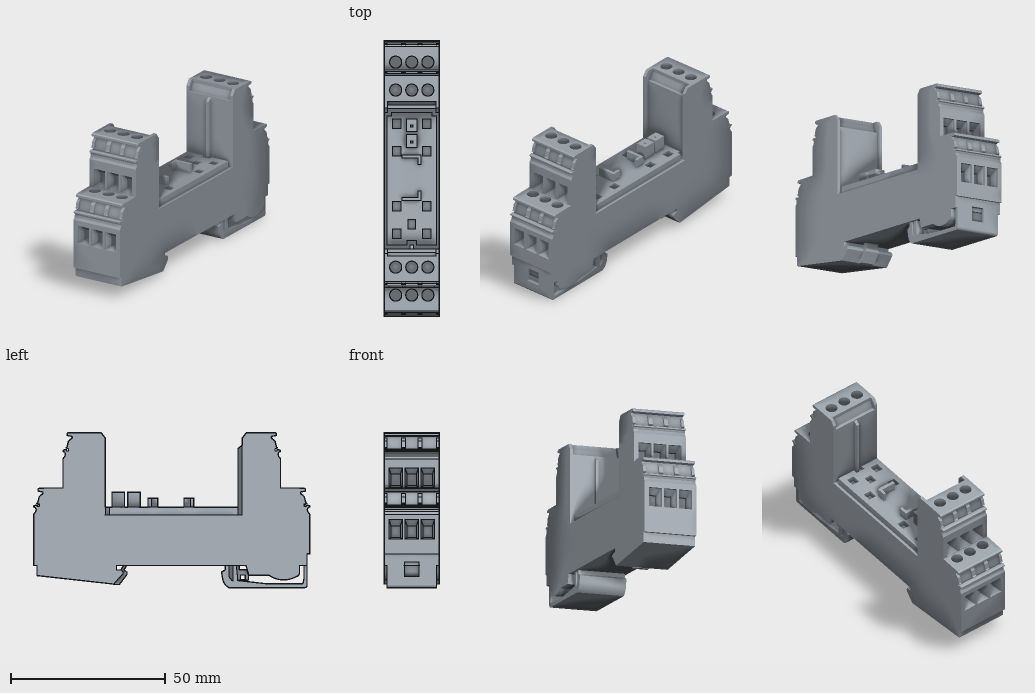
import cadquery as cq

width = 17.85
length = 89.33
height = 50.22
half_width = width / 2
end_y = length / 2

rail_z = 7.15
end_z = 10.95
ledge_z = 23.6
plate_z = 26.05
deck_z = 32.35

tower_y = 35.2
wall_y = 22.75
cheek_y = 21.45
recess_half_width = 7.85
chamfer_y, chamfer_z = 1.4, 1.85

pole_pitch = 5.2
poles = [-pole_pitch, 0, pole_pitch]
lip_height = 5.55
upper_lip_z = height - lip_height
lower_lip_z = 26.7
screw_diameter, screw_depth = 3.9, 6.0
upper_screw_y, lower_screw_y = 28.65, 37.67
entry_width, entry_height = 4.4, 6.25
entry_mouth_depth, entry_flare_depth, entry_throat_depth = 1.0, 1.8, 1.5
entry_throat_width, entry_throat_height = 3.0, 3.8
entry_throat_rise = 0.5
upper_entry_z, lower_entry_z = 32.5, 15.75
seat_top_dy = -2.95
seat_top_dz = lip_height - 1.7
label_half_widths = [2.3, 2.0, 2.3]
label_pitch = 5.68

plate_half_width = 7.95
plate_front_y, plate_shoulder_y, plate_back_y = -21.5, 20.2, 21.45
tongue_half_width = 6.6
plate_notch_width, plate_notch_depth = 3.1, 1.5
contact_x, contact_pitch = 4.85, 8.9
contact_width, contact_length = 2.65, 3.05
contact_depth = 2.0
centre_contact_y, centre_contact_width = -14.8, 2.5
post_width, post_length, post_z = 3.55, 4.1, 30.9
post_ys = [17.3, 12.2]
pin_width, pin_length, pin_depth, pin_offset = 0.9, 0.65, 2.0, -0.35
guide_z, guide_thickness, guide_leg_thickness = 29.0, 1.1, 0.95
guide_left_x, guide_right_x = -3.2, 2.95
guide_outer_ys = [7.7, -7.15]
guide_length = 3.2
rib_width, rib_y, rib_top_z, rib_bevel = 1.0, -21.4, 46.1, 1.05

hook_half_width = 2.5
clip_half_width = 8.05
block_half_width = 6.0
clip_outer_y = -43.8
clip_inner_y = -42.75
clip_floor_z = 1.3
head_y, head_low_y = -20.9, -21.2
head_low_z = 4.1
window_width, window_low_z, window_high_z = 4.76, 3.6, 8.35
wall_foot_y = -42.4
block_front_y, block_back_y = -21.9, -24.9
block_top_z, block_low_z = 5.9, 2.35
housing_slope_z = 4.0
eye_front_y, eye_back_y = -22.3, -23.7
eye_low_z, eye_high_z = 2.6, 4.1
slot_front_y, slot_back_y, slot_tip_z = -18.5, -19.85, 2.2
clip_slot_web = 8.0


def box(x0, x1, y0, y1, z0, z1):
    """Block between opposite corners."""
    return cq.Workplane("XY").box(x1 - x0, y1 - y0, z1 - z0, centered=False).translate((x0, y0, z0))


def centred_box(x, y, size_x, size_y, z0, z1):
    """Block centred on (x, y)."""
    return box(x - size_x / 2, x + size_x / 2, y - size_y / 2, y + size_y / 2, z0, z1)


def across(half, points):
    """Closed Y-Z polygon extended to +-half along X."""
    return cq.Workplane("YZ").polyline(points).close().extrude(half, both=True)


def mirrored(solid):
    """Copy on the -Y side."""
    return solid.mirror("XZ")


def terminal_edge(wire, face_y, lip_z):
    """Label lip, angled rib, marker ledge and finger groove, from the top down."""
    lip = [(-1.85, lip_height), (-1.33, lip_height - 0.3), (-1.33, lip_height - 1.0)]
    lip_groove = [(seat_top_dy, lip_height - 1.3), (seat_top_dy, seat_top_dz)]
    rib = [(-1.75, 2.73), (-1.25, 0.75), (-0.95, 0.6), (-1.75, 0.25)]
    ledge = [(-1.75, -0.4), (-1.2, -0.4), (-1.2, 0), (-0.55, 0), (0, -0.2)]
    groove = [(0, -0.6), (-0.55, -0.8), (-0.8, -1.4), (-0.6, -2.1), (0, -2.95)]
    for dy, dz in lip + lip_groove + rib + ledge + groove:
        wire = wire.lineTo(face_y + dy, lip_z + dz)
    return wire


def label_windows(face_y, lip_z):
    """Flat slanted label seats cut between the ribs."""
    low, high = lip_z + 0.15, lip_z + seat_top_dz
    seat = [(face_y - 1.85, low), (face_y + seat_top_dy, high), (face_y, high), (face_y, low)]
    cuts = cq.Workplane("XY")
    for index, half in enumerate(label_half_widths):
        cuts = cuts.add(across(half, seat).translate(((index - 1) * label_pitch, 0, 0)))
    return cuts.combine()


def wire_entries(face_y, floor_z):
    """Rectangular wire mouths that taper into a smaller throat."""
    mouth_z = floor_z + entry_height / 2
    throat_z = floor_z + entry_throat_rise + entry_throat_height / 2
    flare_y = face_y - entry_mouth_depth
    throat_y = flare_y - entry_flare_depth
    cuts = cq.Workplane("XY")
    for x in poles:
        mouth = (
            cq.Workplane("XZ", origin=(x, face_y, mouth_z))
            .rect(entry_width, entry_height)
            .extrude(entry_mouth_depth)
        )
        flare = (
            cq.Workplane("XZ", origin=(x, flare_y, mouth_z))
            .rect(entry_width, entry_height)
            .workplane(offset=entry_flare_depth)
            .center(0, throat_z - mouth_z)
            .rect(entry_throat_width, entry_throat_height)
            .loft()
        )
        throat = (
            cq.Workplane("XZ", origin=(x, throat_y, throat_z))
            .rect(entry_throat_width, entry_throat_height)
            .extrude(entry_throat_depth)
        )
        cuts = cuts.add(mouth).add(flare).add(throat)
    return cuts.combine()


def screw_holes(y, top_z):
    """One row of screw access holes."""
    return (
        cq.Workplane("XY", origin=(0, y, top_z - screw_depth))
        .pushPoints([(x, 0) for x in poles])
        .circle(screw_diameter / 2)
        .extrude(screw_depth)
    )


def tower_recess():
    """Stepped pocket in the inner side of a tower, between its cheeks."""
    slot_y, ramp_y = 25.0, 23.85
    slot_z, shelf_z = 48.95, 46.5
    inside_y = cheek_y - chamfer_y
    return across(recess_half_width, [
        (inside_y, height), (slot_y, height), (slot_y, slot_z), (ramp_y, shelf_z),
        (wall_y, shelf_z), (wall_y, ledge_z), (inside_y, ledge_z),
    ])


def terminal_end(inner_y):
    """Two-level terminal tower on the +Y side."""
    wire = cq.Workplane("YZ").moveTo(inner_y, end_z).lineTo(inner_y, height - chamfer_z)
    wire = wire.lineTo(inner_y + chamfer_y, height)
    wire = terminal_edge(wire, tower_y, upper_lip_z)
    wire = wire.lineTo(tower_y, deck_z)
    wire = terminal_edge(wire, end_y, lower_lip_z)
    end = wire.lineTo(end_y, end_z).close().extrude(half_width, both=True)
    end = end.cut(tower_recess())
    levels = [
        (tower_y, upper_lip_z, upper_entry_z, upper_screw_y, height),
        (end_y, lower_lip_z, lower_entry_z, lower_screw_y, deck_z),
    ]
    for face_y, lip_z, entry_z, screw_y, top_z in levels:
        end = end.cut(label_windows(face_y, lip_z))
        end = end.cut(wire_entries(face_y, entry_z))
        end = end.cut(screw_holes(screw_y, top_z))
    return end


def base():
    """Beam joining the two terminal ends."""
    beam = box(-half_width, half_width, clip_outer_y, end_y, rail_z, end_z)
    return beam.union(box(-half_width, half_width, -wall_y, cheek_y, end_z, ledge_z))


def fixed_foot():
    """Sloped foot with the fixed rail hook on the +Y side."""
    heel_y, heel_z = 43.6, 3.9
    toe_y, toe_z = 18.8, 1.15
    cheek_tip_y, cheek_top_y = 15.8, 16.4
    hook_tip_y, hook_toe_z = 14.4, 1.0
    notch_y, notch_z = 17.8, 5.8
    cheeks = across(half_width, [
        (heel_y, rail_z), (heel_y, heel_z), (toe_y, toe_z), (cheek_tip_y, 4.5), (cheek_tip_y, 5.2),
        (cheek_top_y, notch_z), (notch_y, notch_z), (notch_y, rail_z),
    ])
    hook = across(hook_half_width, [
        (toe_y, toe_z), (toe_y, hook_toe_z), (17.0, hook_toe_z),
        (hook_tip_y, 4.35), (hook_tip_y, 4.95), (15.4, notch_z),
        (14.6, rail_z), (15.7, rail_z), (cheek_top_y, notch_z), (notch_y, notch_z),
    ])
    return cheeks.union(hook)


def clip_housing():
    """Bulged underside of the housing above the clip."""
    bulge_start_y, bulge_end_y = -31.5, -41.4
    return (
        cq.Workplane("YZ")
        .moveTo(-24.0, rail_z)
        .lineTo(block_back_y, housing_slope_z)
        .lineTo(bulge_start_y, housing_slope_z)
        .threePointArc((-36.2, 2.5), (-40.2, 3.55))
        .threePointArc((-41.1, 4.15), (bulge_end_y, 5.0))
        .lineTo(bulge_end_y, rail_z)
        .close()
        .extrude(half_width, both=True)
    )


def clip():
    """Sprung rail clip: front wall, floor bar and latch head."""
    head_tip = (-16.05, 5.1)
    head_shoulder_y = -17.3
    body = (
        cq.Workplane("YZ")
        .moveTo(clip_outer_y, end_z)
        .lineTo(clip_outer_y, 1.0)
        .threePointArc((-43.6, 0.3), (-42.9, 0))
        .lineTo(-18.5, 0)
        .threePointArc((-17.2, 1.1), (-16.4, 3.1))
        .lineTo(*head_tip)
        .lineTo(head_shoulder_y, 5.8)
        .lineTo(head_shoulder_y, rail_z)
        .lineTo(head_y, rail_z)
        .lineTo(head_low_y, head_low_z)
        .lineTo(head_low_y, 2.4)
        .lineTo(-30.9, clip_floor_z)
        .lineTo(wall_foot_y, clip_floor_z)
        .lineTo(clip_inner_y, 3.1)
        .lineTo(clip_inner_y, end_z)
        .close()
        .extrude(clip_half_width, both=True)
    )
    slot = across(clip_half_width, [
        (slot_front_y, rail_z), (slot_back_y, rail_z), (slot_back_y, slot_tip_z),
        (-19.4, 2.4), (slot_front_y, 3.6),
    ])
    web = box(-clip_slot_web / 2, clip_slot_web / 2, slot_back_y, slot_front_y, 0, rail_z)
    return body.cut(slot.cut(web))


def hook_block():
    """Narrower block with an eye, joining the latch head to the housing."""
    block = across(block_half_width, [
        (head_y, rail_z), (block_front_y, rail_z), (block_front_y, block_top_z),
        (-24.3, block_top_z), (block_back_y, housing_slope_z), (block_back_y, 2.6),
        (-24.5, block_low_z), (head_low_y, block_low_z), (head_low_y, head_low_z),
    ])
    eye = across(block_half_width, [
        (eye_front_y, eye_high_z), (eye_back_y, eye_high_z),
        (eye_back_y, eye_low_z), (eye_front_y, eye_low_z),
    ])
    return block.cut(eye)


def clip_window():
    """Release window through the clip front wall."""
    return box(
        -window_width / 2, window_width / 2, clip_outer_y, wall_foot_y, window_low_z, window_high_z
    )


def socket_plate():
    """Raised plate with a tongue at one end and a notch at the other."""
    plate = box(-plate_half_width, plate_half_width, plate_front_y, plate_shoulder_y, ledge_z, plate_z)
    plate = plate.union(
        box(-tongue_half_width, tongue_half_width, plate_shoulder_y, plate_back_y, ledge_z, plate_z)
    )
    notch_y = plate_front_y + plate_notch_depth / 2
    return plate.cut(centred_box(0, notch_y, plate_notch_width, plate_notch_depth, ledge_z, plate_z))


def contact_slots():
    """Four pairs of contact slots and one on the centre line."""
    floor_z = plate_z - contact_depth
    cuts = centred_box(0, centre_contact_y, centre_contact_width, contact_length, floor_z, plate_z)
    for x in (-contact_x, contact_x):
        for row in (-2, -1, 1, 2):
            slot = centred_box(x, row * contact_pitch, contact_width, contact_length, floor_z, plate_z)
            cuts = cuts.union(slot)
    return cuts


def post(y):
    """Square coil post with a pin hole."""
    block = centred_box(0, y, post_width, post_length, plate_z, post_z)
    return block.cut(centred_box(0, y + pin_offset, pin_width, pin_length, post_z - pin_depth, post_z))


def guide(outer_y):
    """L-shaped guide whose leg points toward the plate centre."""
    inward = -1 if outer_y > 0 else 1
    bar_y = outer_y + inward * guide_thickness / 2
    bar_x = (guide_left_x + guide_right_x) / 2
    bar = centred_box(bar_x, bar_y, guide_right_x - guide_left_x, guide_thickness, plate_z, guide_z)
    leg_x = guide_right_x - guide_leg_thickness / 2
    leg_y = outer_y + inward * guide_length / 2
    return bar.union(centred_box(leg_x, leg_y, guide_leg_thickness, guide_length, plate_z, guide_z))


def key_rib():
    """Bevelled vertical rib on the inner wall of the -Y tower."""
    return across(rib_width / 2, [
        (-wall_y, ledge_z), (rib_y, ledge_z), (rib_y, rib_top_z - rib_bevel), (-wall_y, rib_top_z),
    ])


result = base().union(terminal_end(cheek_y)).union(mirrored(terminal_end(wall_y)))
result = result.union(fixed_foot()).union(clip_housing())
result = result.union(clip()).union(hook_block()).cut(clip_window())
result = result.union(socket_plate()).cut(contact_slots()).union(key_rib())
for post_y in post_ys:
    result = result.union(post(post_y))
for guide_y in guide_outer_ys:
    result = result.union(guide(guide_y))